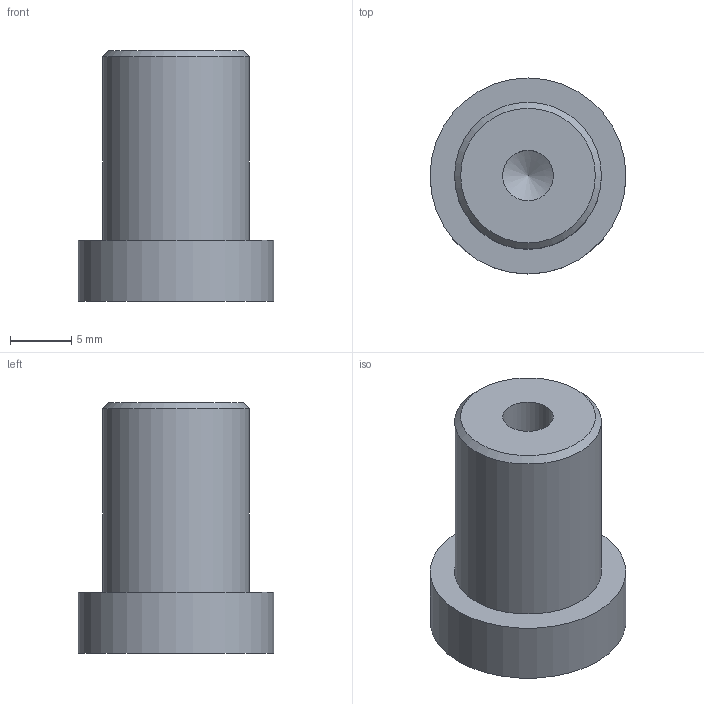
import cadquery as cq
import math

head_diameter = 16.0
head_height = 5.0
shank_diameter = 12.0
total_height = 20.5
tip_chamfer = 0.5
hole_diameter = 4.134
hole_depth = 12.0
drill_point_angle = 118.0


def headed_pin():
    """Cylindrical head with a concentric shank, chamfered at its free end."""
    shank_length = total_height - head_height
    head = cq.Workplane("XY").circle(head_diameter / 2).extrude(head_height)
    shank = (
        cq.Workplane("XY")
        .workplane(offset=head_height)
        .circle(shank_diameter / 2)
        .extrude(shank_length)
        .faces(">Z")
        .chamfer(tip_chamfer)
    )
    return head.union(shank)


def drilled_hole():
    """Blind hole volume with a conical drill point, revolved about the Z axis."""
    hole_radius = hole_diameter / 2
    point_height = hole_radius / math.tan(math.radians(drill_point_angle / 2))
    hole_bottom = total_height - hole_depth
    return (
        cq.Workplane("XZ")
        .moveTo(0, total_height)
        .lineTo(hole_radius, total_height)
        .lineTo(hole_radius, hole_bottom)
        .lineTo(0, hole_bottom - point_height)
        .close()
        .revolve(360, (0, 0, 0), (0, 1, 0))
    )


result = headed_pin().cut(drilled_hole())